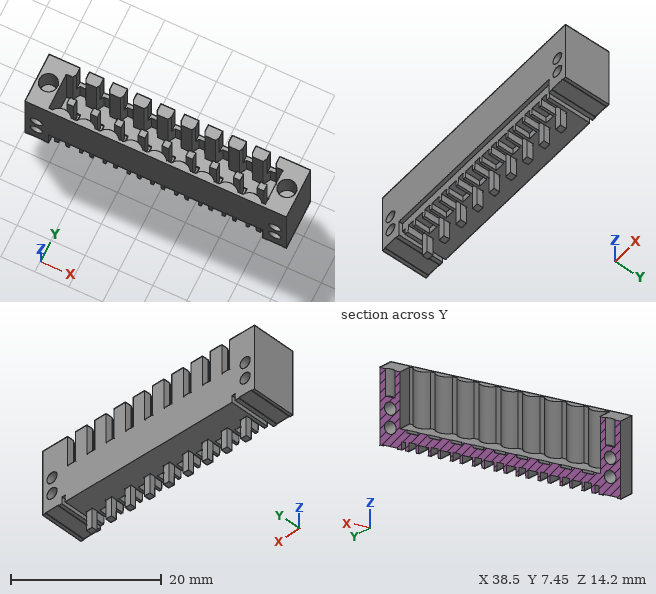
import cadquery as cq
LENGTH = 38.5
DEPTH = 7.45
HEIGHT = 11.0
PIN_COUNT = 9
PITCH = 3.5

PIN_SIZE = 1.0
PIN_Y = -0.25
PIN_TOP = 8.5
PIN_TAIL = 3.25

POCKET_END_WALL = 3.3
POCKET_FRONT_WALL = 0.45
POCKET_BACK_WALL = 1.6
POCKET_FLOOR = 3.0
PIN_SEAT_SIZE = 1.7
PIN_SEAT_DEPTH = 0.4
RIB_HALF_WIDTH = 1.4
RIB_RISE = 0.75

NICHE_MOUTH = 1.95
NICHE_END = 0.8
NICHE_DEPTH = 1.05
SLOT_WIDTH = 1.4
SLOT_DEPTH = 5.0

END_HOLE_INSET = 1.7
CROSS_HOLE_DIAMETER = 1.8
CROSS_HOLE_HEIGHTS = (2.8, 5.5)
SCREW_HOLE_DIAMETER = 2.6
SCREW_HOLE_DEPTH = 3.85
FOOT_NOTCH_WIDTH = 2.3
FOOT_NOTCH_DEPTH = 0.1

RECESS_INSET = 3.5
RECESS_TOP = 2.77
RECESS_DEPTH = 0.58
COMB_INSET = 4.1
COMB_HEIGHT = 1.15
COMB_GAP_WIDTH = 1.5
TAIL_SLOT_HEIGHT = 1.27
TAIL_SLOT_FLARE = 0.1
TAIL_SLOT_FLARE_HEIGHT = 0.4

FRONT_Y = -DEPTH / 2
BACK_Y = DEPTH / 2
POCKET_FRONT_Y = FRONT_Y + POCKET_FRONT_WALL
POCKET_BACK_Y = BACK_Y - POCKET_BACK_WALL
PIN_FRONT_Y = PIN_Y - PIN_SIZE / 2
PIN_XS = [(i - (PIN_COUNT - 1) / 2) * PITCH for i in range(PIN_COUNT)]
GAP_XS = [x + PITCH / 2 for x in PIN_XS[:-1]]
END_HOLE_XS = [side * (LENGTH / 2 - END_HOLE_INSET) for side in (-1, 1)]


def block(x_range, y_range, z_range):
    """Axis-aligned box given by its limits on each axis."""
    (x0, x1), (y0, y1), (z0, z1) = x_range, y_range, z_range
    return cq.Workplane("XY").box(x1 - x0, y1 - y0, z1 - z0, centered=False).translate((x0, y0, z0))


def centred_block(x, width, y_range, z_range):
    """Box centred on x."""
    return block((x - width / 2, x + width / 2), y_range, z_range)


def square_post(x, size, z_range):
    """Square post on a pin axis."""
    return centred_block(x, size, (PIN_Y - size / 2, PIN_Y + size / 2), z_range)


def front_rib(x):
    """Circular-segment rib on the inner side of the front wall."""
    return (
        cq.Workplane("XY", origin=(x, POCKET_FRONT_Y, POCKET_FLOOR))
        .moveTo(-RIB_HALF_WIDTH, 0)
        .threePointArc((0, RIB_RISE), (RIB_HALF_WIDTH, 0))
        .close()
        .extrude(HEIGHT - POCKET_FLOOR)
    )


def back_niche(x):
    """Tapered niche in the inner side of the back wall, as deep as the pocket."""
    return (
        cq.Workplane("XY", origin=(x, POCKET_BACK_Y, POCKET_FLOOR))
        .polyline(
            [
                (-NICHE_MOUTH / 2, 0),
                (NICHE_MOUTH / 2, 0),
                (NICHE_END / 2, NICHE_DEPTH),
                (-NICHE_END / 2, NICHE_DEPTH),
            ]
        )
        .close()
        .extrude(HEIGHT - POCKET_FLOOR)
    )


def back_slot(x):
    """Slot through the upper part of the back wall."""
    return centred_block(x, SLOT_WIDTH, (POCKET_BACK_Y, BACK_Y), (HEIGHT - SLOT_DEPTH, HEIGHT))


def pocket():
    """Mating pocket, with its ribs left standing and its niches and slots taken away."""
    half_length = LENGTH / 2 - POCKET_END_WALL
    cavity = block((-half_length, half_length), (POCKET_FRONT_Y, POCKET_BACK_Y), (POCKET_FLOOR, HEIGHT))
    for x in PIN_XS:
        cavity = cavity.cut(front_rib(x)).union(back_niche(x)).union(back_slot(x))
    return cavity


def tail_slot(x):
    """Slot from the front to the back of a pin tail, flared at its lower end."""
    half = PIN_SIZE / 2
    flared = half + TAIL_SLOT_FLARE
    return (
        cq.Workplane("XZ", origin=(x, PIN_Y + half, 0))
        .polyline(
            [
                (-flared, 0),
                (flared, 0),
                (half, TAIL_SLOT_FLARE_HEIGHT),
                (half, TAIL_SLOT_HEIGHT),
                (-half, TAIL_SLOT_HEIGHT),
                (-half, TAIL_SLOT_FLARE_HEIGHT),
            ]
        )
        .close()
        .extrude(PIN_Y + half - FRONT_Y)
    )


def cut_underside(body):
    """Set the front face back above the board and shape the comb that guides the pin tails."""
    half_recess = LENGTH / 2 - RECESS_INSET
    half_comb = LENGTH / 2 - COMB_INSET
    recess_face_y = FRONT_Y + RECESS_DEPTH
    body = body.cut(block((-half_recess, half_recess), (FRONT_Y, recess_face_y), (0, RECESS_TOP)))
    for x_range in ((-half_recess, -half_comb), (half_comb, half_recess)):
        body = body.cut(block(x_range, (FRONT_Y, BACK_Y), (0, COMB_HEIGHT)))
    for x in GAP_XS:
        body = body.cut(centred_block(x, COMB_GAP_WIDTH, (FRONT_Y, PIN_FRONT_Y), (0, COMB_HEIGHT)))
    for x in PIN_XS:
        body = body.cut(tail_slot(x))
    return body


def cut_end_blocks(body):
    """Screw holes from above, cross holes from front to back and shallow notches under the feet."""
    for x in END_HOLE_XS:
        screw_hole = (
            cq.Workplane("XY", origin=(x, 0, HEIGHT))
            .circle(SCREW_HOLE_DIAMETER / 2)
            .extrude(-SCREW_HOLE_DEPTH)
        )
        cross_holes = (
            cq.Workplane("XZ", origin=(x, BACK_Y, 0))
            .pushPoints([(0, z) for z in CROSS_HOLE_HEIGHTS])
            .circle(CROSS_HOLE_DIAMETER / 2)
            .extrude(DEPTH)
        )
        notch = centred_block(x, FOOT_NOTCH_WIDTH, (FRONT_Y, BACK_Y), (0, FOOT_NOTCH_DEPTH))
        body = body.cut(screw_hole).cut(cross_holes).cut(notch)
    return body


def make_housing():
    """Housing with its pocket, end blocks, underside comb and one seat and hole per pin."""
    body = block((-LENGTH / 2, LENGTH / 2), (FRONT_Y, BACK_Y), (0, HEIGHT)).cut(pocket())
    body = cut_end_blocks(cut_underside(body))
    for x in PIN_XS:
        body = body.cut(square_post(x, PIN_SEAT_SIZE, (POCKET_FLOOR - PIN_SEAT_DEPTH, POCKET_FLOOR)))
        body = body.cut(make_pin(x))
    return body.solids()


def make_pin(x):
    """Straight square pin from the tail end below the board to the tip inside the pocket."""
    return square_post(x, PIN_SIZE, (-PIN_TAIL, PIN_TOP))


housing = make_housing()
pins = [make_pin(x) for x in PIN_XS]

result = cq.Compound.makeCompound([housing.val(), *[pin.val() for pin in pins]])